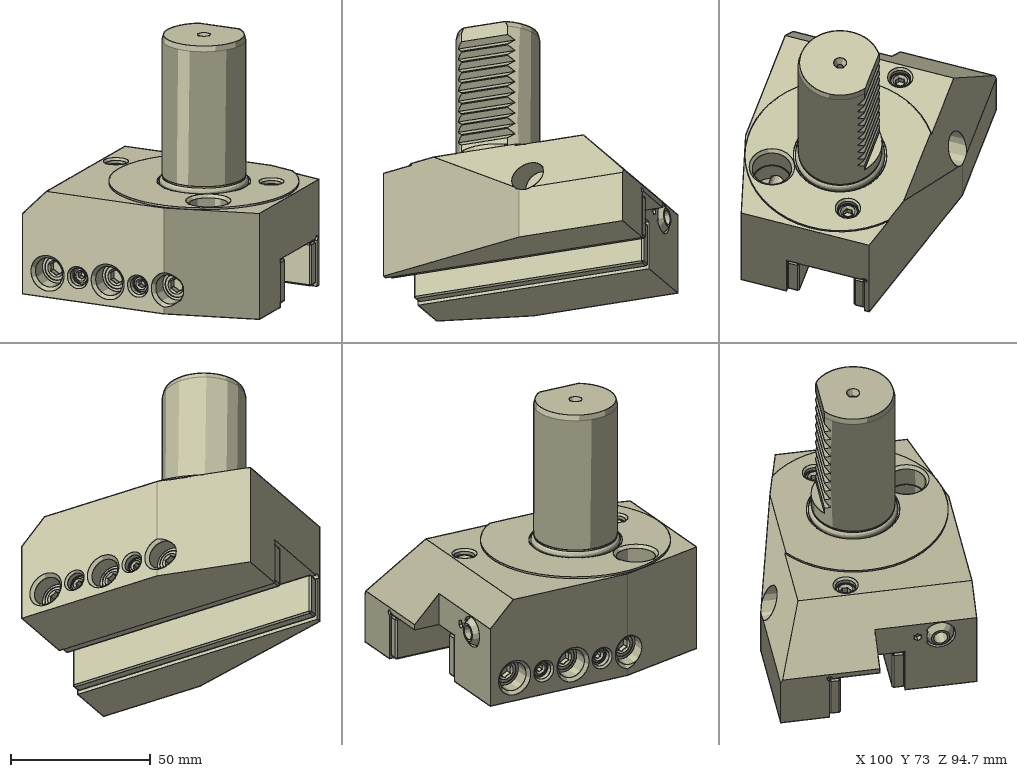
import cadquery as cq
import math


LEFT_X = -65.0
RIGHT_X = 35.0
FRONT_Y = -35.0
BACK_Y = 38.0
BLOCK_TOP = 39.5
FLANGE_TOP = 40.2
FLANGE_RADIUS = 34.0
TAPER_ANGLE = 15.0
RIGHT_FRONT_Y = -26.0
RIGHT_BACK_Y = 22.0
LEFT_WALL_HEIGHT = 20.0
BACK_SLOPE_ANGLE = 25.0
BACK_SLOPE_TOP_Y = 27.9
STEP_X = -55.0
STEP_Y = 2.0

CHANNEL_FRONT_Y = -9.0
CHANNEL_BACK_Y = 20.2
CHANNEL_HEIGHT = 18.0
RELIEF_RADIUS = 0.9
PAD_BOTTOM = 1.0
PAD_TOP = 17.0
PAD_CHAMFER = 0.6
PAD_END_GAP = 0.3
BACK_PAD_THICKNESS = 4.1
FRONT_PAD_THICKNESS = 4.6

TOTAL_HEIGHT = 94.7
SHANK_RADIUS = 15.0
SHANK_END_CHAMFER_HEIGHT = 2.0
SHANK_END_CHAMFER_ANGLE = 15.0
FLAT_Y = 12.0
FLAT_BOTTOM = 47.4
TOOTH_COUNT = 10
TOOTH_PITCH = 4.0
TOOTH_DEPTH = 1.8
TEETH_MIDDLE_Z = 69.7
NECK_RADIUS = 14.9
NECK_TOP = 42.4
SEAL_OUTER_RADIUS = 16.0
SEAL_TOP = 41.9
SEAL_GROOVE_RADIUS = 16.7
SEAL_GROOVE_DEPTH = 0.6
CENTRE_MOUTH_RADIUS = 2.3
CENTRE_PILOT_RADIUS = 1.0
CENTRE_CONE_HALF_ANGLE = 30.0
CENTRE_PILOT_LENGTH = 3.0

ROW_START_X = -45.0
ROW_PITCH = 12.0
ROW_Z = 9.0
ROW_COUNT = 5
BLOCK_SCREW_X = -40.0
FLANGE_SCREW_X = 22.0
TOP_SCREW_Y = 9.9
CLAMP_SCREW = dict(mouth=6.6, bore=5.4, depth=6.5, tip=4.3, socket=3.1, across_flats=4.6)
LOCK_SCREW = dict(mouth=4.1, bore=3.3, depth=2.5, tip=2.7, socket=2.0, across_flats=2.4)
TOP_SCREW = dict(mouth=4.5, bore=3.7, depth=1.8, tip=3.3, socket=2.6, across_flats=3.2)
SOCKET_DEPTH = 3.0
TIP_STEP = 0.3

COOLANT_Y = -21.6
COOLANT_Z = 24.0
COOLANT_RADIUS = 2.55
INLET_X = 12.5
INLET_RADIUS = 7.0
INLET_LOWER_RADIUS = 6.7
INLET_MOUTH_RADIUS = 8.1
INLET_STEP_Z = 32.0
INLET_CONE_TOP_Z = 24.6
DRILL_POINT_HALF_ANGLE = 59.0
COOLANT_END_X = 11.2
NOZZLE_RADIUS = 5.5
NOZZLE_OVERHANG = 1.6
NOZZLE_TIP_RADIUS = 3.3
NOZZLE_SEAT_RADIUS = 5.65
PLUG_Y = -13.6
PLUG_RADIUS = 4.2
PLUG_ACROSS_FLATS = 2.6
PLUG_DEPTH = 2.5
PLUG_SOCKET_DEPTH = 2.0
BACK_BORE_X = -26.9
BACK_BORE_RADIUS = 6.05
BACK_BORE_DEPTH = 15.0


def box(x_range, y_range, z_range):
    """Box between pairs of X, Y and Z limits."""
    size = [high - low for low, high in (x_range, y_range, z_range)]
    return cq.Workplane("XY").box(*size, centered=False).translate((x_range[0], y_range[0], z_range[0]))


def revolved(profile):
    """Solid of revolution about Z from (radius, height) points."""
    return cq.Workplane("XZ").polyline(profile).close().revolve(360, (0, 0), (0, 1))


def hexagon_diameter(across_flats):
    return across_flats / math.cos(math.radians(30))


def make_block():
    taper = math.tan(math.radians(TAPER_ANGLE))
    front_corner_x = RIGHT_X - (RIGHT_FRONT_Y - FRONT_Y) / taper
    back_corner_x = RIGHT_X - (BACK_Y - RIGHT_BACK_Y) / taper
    outline = [
        (STEP_X, FRONT_Y),
        (front_corner_x, FRONT_Y),
        (RIGHT_X, RIGHT_FRONT_Y),
        (RIGHT_X, RIGHT_BACK_Y),
        (back_corner_x, BACK_Y),
        (LEFT_X, BACK_Y),
        (LEFT_X, STEP_Y),
        (STEP_X, STEP_Y),
    ]
    block = cq.Workplane("XY").polyline(outline).close().extrude(FLANGE_TOP)

    x_range = (LEFT_X, RIGHT_X)
    around_flange = box(x_range, (FRONT_Y, BACK_Y), (BLOCK_TOP, FLANGE_TOP))
    flange = cq.Workplane("XY").circle(FLANGE_RADIUS).extrude(FLANGE_TOP)
    block = block.cut(around_flange.cut(flange))

    bevel = BLOCK_TOP - LEFT_WALL_HEIGHT
    left_bevel = (
        cq.Workplane("XZ", origin=(0, BACK_Y, 0))
        .polyline([(LEFT_X, LEFT_WALL_HEIGHT), (LEFT_X + bevel, BLOCK_TOP), (LEFT_X, BLOCK_TOP)])
        .close()
        .extrude(BACK_Y - FRONT_Y)
    )

    slope_bottom = FLANGE_TOP - (BACK_Y - BACK_SLOPE_TOP_Y) / math.tan(math.radians(BACK_SLOPE_ANGLE))
    back_slope = (
        cq.Workplane("YZ", origin=(LEFT_X, 0, 0))
        .polyline([(BACK_SLOPE_TOP_Y, FLANGE_TOP), (BACK_Y, FLANGE_TOP), (BACK_Y, slope_bottom)])
        .close()
        .extrude(RIGHT_X - LEFT_X)
    )
    return block.cut(left_bevel).cut(back_slope)


def make_channel():
    x_range = (LEFT_X, RIGHT_X)
    channel = box(x_range, (CHANNEL_FRONT_Y, CHANNEL_BACK_Y), (0, CHANNEL_HEIGHT))
    relief = (
        cq.Workplane("YZ", origin=(LEFT_X, CHANNEL_BACK_Y, CHANNEL_HEIGHT))
        .circle(RELIEF_RADIUS)
        .extrude(RIGHT_X - LEFT_X)
    )
    return channel.union(relief)


def make_pad(wall_x, y_range):
    """Chamfered jaw strip running the length of one channel wall."""
    x_range = (wall_x + PAD_END_GAP, RIGHT_X - PAD_END_GAP)
    return box(x_range, y_range, (PAD_BOTTOM, PAD_TOP)).edges().chamfer(PAD_CHAMFER)


def make_shank():
    chamfer_width = SHANK_END_CHAMFER_HEIGHT * math.tan(math.radians(SHANK_END_CHAMFER_ANGLE))
    shank = revolved([
        (0, BLOCK_TOP),
        (NECK_RADIUS, BLOCK_TOP),
        (NECK_RADIUS, NECK_TOP),
        (SHANK_RADIUS, NECK_TOP),
        (SHANK_RADIUS, TOTAL_HEIGHT - SHANK_END_CHAMFER_HEIGHT),
        (SHANK_RADIUS - chamfer_width, TOTAL_HEIGHT),
        (0, TOTAL_HEIGHT),
    ])
    x_range = (-SHANK_RADIUS, SHANK_RADIUS)
    shank = shank.cut(box(x_range, (FLAT_Y, SHANK_RADIUS), (FLAT_BOTTOM, TOTAL_HEIGHT)))

    first_z = TEETH_MIDDLE_Z - TOOTH_PITCH * (TOOTH_COUNT - 1) / 2
    for index in range(TOOTH_COUNT):
        z = first_z + index * TOOTH_PITCH
        notch = (
            cq.Workplane("YZ", origin=(-SHANK_RADIUS, 0, 0))
            .polyline([(FLAT_Y - TOOTH_DEPTH, z), (FLAT_Y, z - TOOTH_DEPTH), (FLAT_Y, z + TOOTH_DEPTH)])
            .close()
            .extrude(2 * SHANK_RADIUS)
        )
        shank = shank.cut(notch)

    cone_half_angle = math.radians(CENTRE_CONE_HALF_ANGLE)
    cone_depth = (CENTRE_MOUTH_RADIUS - CENTRE_PILOT_RADIUS) / math.tan(cone_half_angle)
    cone_bottom = TOTAL_HEIGHT - cone_depth
    centre_hole = revolved([
        (0, TOTAL_HEIGHT),
        (CENTRE_MOUTH_RADIUS, TOTAL_HEIGHT),
        (CENTRE_PILOT_RADIUS, cone_bottom),
        (CENTRE_PILOT_RADIUS, cone_bottom - CENTRE_PILOT_LENGTH),
        (0, cone_bottom - CENTRE_PILOT_LENGTH),
    ])
    return shank.cut(centre_hole)


def make_seal_groove():
    return (
        cq.Workplane("XY", origin=(0, 0, FLANGE_TOP))
        .circle(SEAL_GROOVE_RADIUS)
        .extrude(-SEAL_GROOVE_DEPTH)
    )


def make_seal():
    """Round-shouldered seal ring around the foot of the shank."""
    ring_bottom = FLANGE_TOP - SEAL_GROOVE_DEPTH
    shoulder_radius = SEAL_TOP - FLANGE_TOP
    ring = cq.Workplane("XY", origin=(0, 0, ring_bottom)).circle(SEAL_OUTER_RADIUS)
    return ring.extrude(SEAL_TOP - ring_bottom).faces(">Z").edges().fillet(shoulder_radius)


def make_screw_hole(plane, mouth, bore, depth, tip, socket, across_flats):
    """Countersunk bore ending on a stepped set screw with a hexagon socket.

    The plane's normal points out of the material; the radii shrink from mouth to socket.
    """
    socket_cone = socket - across_flats / 2
    cutter = revolved([
        (0, 0),
        (mouth, 0),
        (bore, bore - mouth),
        (bore, -depth - TIP_STEP),
        (tip, -depth - TIP_STEP),
        (tip, -depth),
        (socket, -depth),
        (across_flats / 2, -depth - socket_cone),
        (0, -depth - socket_cone),
    ])
    hexagon = (
        cq.Workplane("XY", origin=(0, 0, -depth))
        .polygon(6, hexagon_diameter(across_flats))
        .extrude(-SOCKET_DEPTH)
    )
    return cq.Workplane(cutter.union(hexagon).val().moved(cq.Location(plane)))


def cut_screw_holes(body):
    for index in range(ROW_COUNT):
        centre = (ROW_START_X + index * ROW_PITCH, FRONT_Y, ROW_Z)
        plane = cq.Plane(origin=centre, xDir=(0, 0, 1), normal=(0, -1, 0))
        screw = CLAMP_SCREW if index % 2 == 0 else LOCK_SCREW
        body = body.cut(make_screw_hole(plane, **screw))
    for x, surface_z in ((BLOCK_SCREW_X, BLOCK_TOP), (FLANGE_SCREW_X, FLANGE_TOP)):
        plane = cq.Plane(origin=(x, TOP_SCREW_Y, surface_z), xDir=(0, 1, 0), normal=(0, 0, 1))
        body = body.cut(make_screw_hole(plane, **TOP_SCREW))
    return body


def make_inlet():
    """Stepped coolant bore in the top face, ending in a drill point."""
    point_height = INLET_LOWER_RADIUS / math.tan(math.radians(DRILL_POINT_HALF_ANGLE))
    return revolved([
        (0, FLANGE_TOP),
        (INLET_MOUTH_RADIUS, FLANGE_TOP),
        (INLET_RADIUS, FLANGE_TOP - (INLET_MOUTH_RADIUS - INLET_RADIUS)),
        (INLET_RADIUS, INLET_STEP_Z),
        (INLET_LOWER_RADIUS, INLET_STEP_Z),
        (INLET_LOWER_RADIUS, INLET_CONE_TOP_Z),
        (0, INLET_CONE_TOP_Z - point_height),
    ]).translate((INLET_X, COOLANT_Y, 0))


def add_nozzle(body):
    """Ball nozzle in its seat on the step wall, drilled through to the inlet.

    The round plug beside it sits flush with the wall and overlaps the seat.
    """
    tip_offset = math.sqrt(NOZZLE_RADIUS**2 - NOZZLE_TIP_RADIUS**2)
    tip_x = STEP_X - NOZZLE_OVERHANG
    ball_x = tip_x + tip_offset
    wall = cq.Workplane("YZ", origin=(STEP_X, COOLANT_Y, COOLANT_Z))
    seat = wall.circle(NOZZLE_SEAT_RADIUS).extrude(ball_x - STEP_X)
    ball = cq.Workplane("XY").sphere(NOZZLE_RADIUS).translate((ball_x, COOLANT_Y, COOLANT_Z))
    nozzle_room = (
        cq.Workplane("YZ", origin=(tip_x, COOLANT_Y, COOLANT_Z))
        .circle(NOZZLE_RADIUS)
        .extrude(tip_offset + NOZZLE_RADIUS)
    )
    passage = (
        cq.Workplane("YZ", origin=(tip_x, COOLANT_Y, COOLANT_Z))
        .circle(COOLANT_RADIUS)
        .extrude(COOLANT_END_X - tip_x)
    )
    plug = cq.Workplane("YZ", origin=(STEP_X, PLUG_Y, COOLANT_Z)).circle(PLUG_RADIUS).extrude(PLUG_DEPTH)
    return body.cut(seat).union(plug).union(ball.intersect(nozzle_room)).cut(passage)


def make_plug_socket():
    return (
        cq.Workplane("YZ", origin=(STEP_X, PLUG_Y, COOLANT_Z))
        .transformed(rotate=(0, 0, 30))
        .polygon(6, hexagon_diameter(PLUG_ACROSS_FLATS))
        .extrude(PLUG_SOCKET_DEPTH)
    )


def make_back_bore():
    return (
        cq.Workplane("XZ", origin=(BACK_BORE_X, BACK_Y, COOLANT_Z))
        .circle(BACK_BORE_RADIUS)
        .extrude(BACK_BORE_DEPTH)
    )


body = make_block().cut(make_channel())
body = body.union(make_pad(LEFT_X, (CHANNEL_BACK_Y - BACK_PAD_THICKNESS, CHANNEL_BACK_Y)))
body = body.union(make_pad(STEP_X, (CHANNEL_FRONT_Y, CHANNEL_FRONT_Y + FRONT_PAD_THICKNESS)))
body = body.cut(make_seal_groove()).union(make_shank()).union(make_seal())
body = cut_screw_holes(body)
body = body.cut(make_inlet())
body = add_nozzle(body)
result = body.cut(make_plug_socket()).cut(make_back_bore())